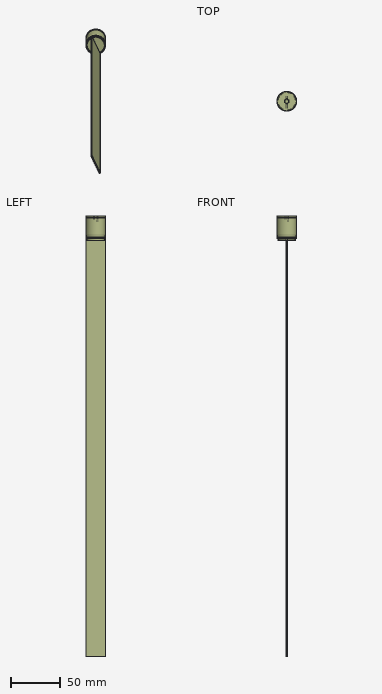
import cadquery as cq
import math

total_length = 446.5
knob_radius = 10.0
strip_width = 20.0
strip_thickness = 1.2

top_rim_depth = 1.8
top_taper_end_depth = 2.2
lower_taper_start_depth = 19.0
lower_taper_end_depth = 20.2
knob_depth = 21.5
groove_radius = 9.7

socket_across_flats = 4.0
socket_chamfer = 0.2
socket_depth = 5.0

rim_bottom_depth = 22.9
rim_chamfer = knob_radius - groove_radius
neck_bottom_depth = 24.8
neck_radius = 8.8

strip_length = total_length - rim_bottom_depth


def revolve_profile(points):
    """Turn a profile of (radius, depth below the top) points about the Z axis."""
    outline = [(-radius, total_length - depth) for radius, depth in points]
    return cq.Workplane("XZ").polyline(outline).close().revolve(360, (0, 0, 0), (0, 1, 0))


def hexagon_circle(across_flats):
    """Diameter of the circle through the corners of a hexagon."""
    return across_flats / math.cos(math.radians(30))


def make_socket():
    """Hexagonal recess with flats facing X and a chamfered mouth."""
    mouth_size = socket_across_flats + 2 * socket_chamfer
    top = cq.Workplane("XY").workplane(offset=total_length)
    bore = top.polygon(6, hexagon_circle(socket_across_flats)).extrude(-socket_depth)
    mouth = (
        top.polygon(6, hexagon_circle(mouth_size))
        .workplane(offset=-socket_chamfer)
        .polygon(6, hexagon_circle(socket_across_flats))
        .loft(ruled=True)
    )
    return bore.union(mouth).rotate((0, 0, 0), (0, 0, 1), 30)


def make_knob():
    """Round grip with a thin top rim, a taper at each end and a hexagon socket."""
    body = revolve_profile([
        (0, 0),
        (knob_radius, 0),
        (knob_radius, top_rim_depth),
        (groove_radius, top_rim_depth),
        (knob_radius, top_taper_end_depth),
        (knob_radius, lower_taper_start_depth),
        (groove_radius, lower_taper_end_depth),
        (groove_radius, knob_depth),
        (0, knob_depth),
    ])
    return body.cut(make_socket())


def make_strip():
    """Long flat strip whose top end sits in the slot of the neck."""
    return cq.Workplane("XY").box(strip_thickness, strip_width, strip_length, centered=(True, True, False))


def make_base(strip):
    """Rim chamfered on both edges, with a neck that holds the strip in a slot."""
    body = revolve_profile([
        (0, knob_depth),
        (groove_radius, knob_depth),
        (knob_radius, knob_depth + rim_chamfer),
        (knob_radius, rim_bottom_depth - rim_chamfer),
        (groove_radius, rim_bottom_depth),
        (neck_radius, rim_bottom_depth),
        (neck_radius, neck_bottom_depth),
        (0, neck_bottom_depth),
    ])
    return body.cut(strip)


strip = make_strip()
knob = make_knob()
base = make_base(strip)

result = cq.Compound.makeCompound([knob.val(), base.val(), strip.val()])